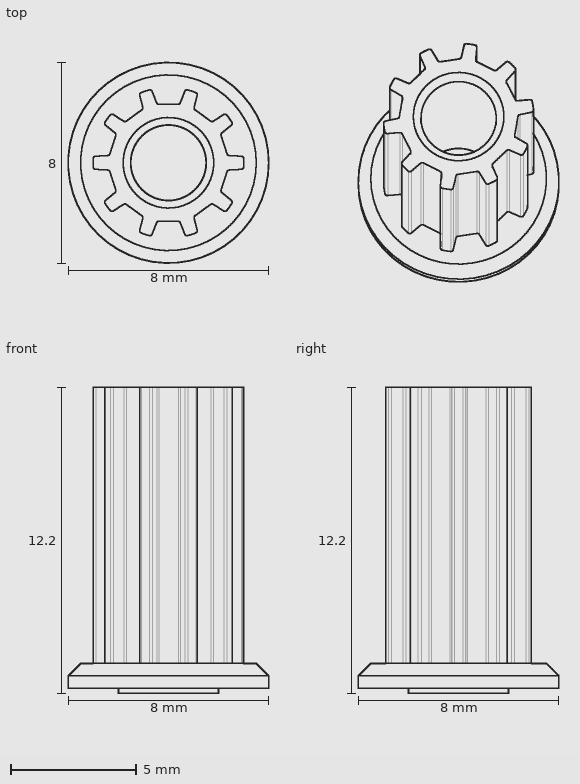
import cadquery as cq
import math

TOTAL_HEIGHT = 12.2
BOSS_HEIGHT = 0.2
FLANGE_HEIGHT = 1.0
FLANGE_CHAMFER = FLANGE_HEIGHT / 2
FLANGE_TOP = BOSS_HEIGHT + FLANGE_HEIGHT

FLANGE_DIAMETER = 8.0
BOSS_DIAMETER = FLANGE_DIAMETER / 2
BORE_DIAMETER = 3.0
BORE_CHAMFER = 0.3

TOOTH_COUNT = 10
TIP_RADIUS = 3.0
CORE_APOTHEM = 2.33
TIP_HALF_WIDTH = 0.26
ROOT_HALF_WIDTH = 0.29
TIP_FILLET = 0.1
ROOT_FILLET = 0.1


def polar(radius, angle):
    return (radius * math.cos(angle), radius * math.sin(angle))


def make_flange():
    """Flange with a bevelled upper rim and a shallow boss underneath."""
    boss = cq.Workplane("XY").circle(BOSS_DIAMETER / 2).extrude(BOSS_HEIGHT)
    flange = (
        cq.Workplane("XY", origin=(0, 0, BOSS_HEIGHT))
        .circle(FLANGE_DIAMETER / 2)
        .extrude(FLANGE_HEIGHT)
        .faces(">Z")
        .chamfer(FLANGE_CHAMFER)
    )
    return boss.union(flange)


def make_splined_shaft():
    """Toothed shaft standing on the flange, with one tooth centred on +X."""
    pitch = 2 * math.pi / TOOTH_COUNT
    half_pitch = pitch / 2
    root_x = (CORE_APOTHEM - ROOT_HALF_WIDTH * math.sin(half_pitch)) / math.cos(half_pitch)
    root_radius = math.hypot(root_x, ROOT_HALF_WIDTH)
    root_angle = math.atan2(ROOT_HALF_WIDTH, root_x)
    tip_angle = math.asin(TIP_HALF_WIDTH / TIP_RADIUS)

    outline = cq.Workplane("XY", origin=(0, 0, FLANGE_TOP)).moveTo(*polar(root_radius, -root_angle))
    for tooth in range(TOOTH_COUNT):
        center = tooth * pitch
        if tooth > 0:
            outline = outline.lineTo(*polar(root_radius, center - root_angle))
        outline = (
            outline.lineTo(*polar(TIP_RADIUS, center - tip_angle))
            .threePointArc(polar(TIP_RADIUS, center), polar(TIP_RADIUS, center + tip_angle))
            .lineTo(*polar(root_radius, center + root_angle))
        )
    shaft = outline.close().extrude(TOTAL_HEIGHT - FLANGE_TOP)

    limit_radius = (TIP_RADIUS + root_radius) / 2
    limit = cq.Workplane("XY").circle(limit_radius).extrude(TOTAL_HEIGHT).val()
    corners = shaft.edges("|Z").vals()
    root_edges = [edge for edge in corners if limit.isInside(edge.Center())]
    tip_edges = [edge for edge in corners if not limit.isInside(edge.Center())]
    shaft = shaft.newObject(tip_edges).fillet(TIP_FILLET)
    return shaft.newObject(root_edges).fillet(ROOT_FILLET)


def cut_bore(body):
    """Through bore with a 45 degree countersink at the top."""
    bore_radius = BORE_DIAMETER / 2
    bore = cq.Workplane("XY").circle(bore_radius).extrude(TOTAL_HEIGHT)
    countersink = cq.Workplane(
        cq.Solid.makeCone(
            bore_radius,
            bore_radius + BORE_CHAMFER,
            BORE_CHAMFER,
            pnt=cq.Vector(0, 0, TOTAL_HEIGHT - BORE_CHAMFER),
        )
    )
    return body.cut(bore).cut(countersink)


result = cut_bore(make_flange().union(make_splined_shaft()))